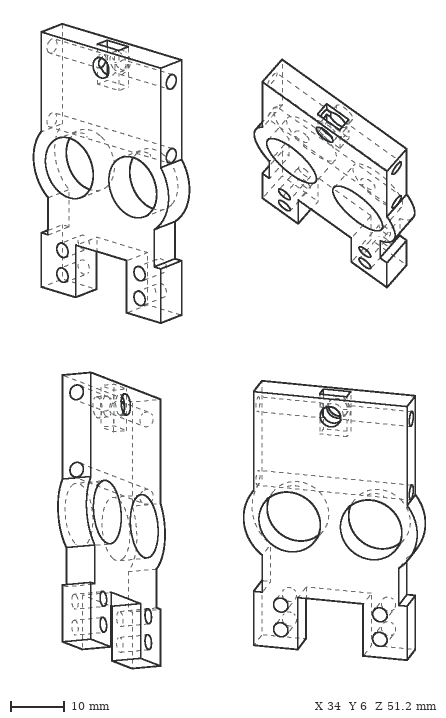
import cadquery as cq

height = 51.2
thickness = 6.0
body_width = 30.0
waist_width = 26.65

bore_diameter = 12.0
overall_width = 33.95
lug_radius = 9.0
bore_x = overall_width / 2 - lug_radius
bore_z = 25.6

foot_height = 10.9
slot_width = 12.75
slot_height = 10.5

screw_diameter = 2.8
foot_hole_x = 9.7
foot_hole_heights = (3.7, 8.65)

rod_diameter = 4.0
rod_z = 47.6
cross_hole_heights = (32.75, rod_z)
pocket_length = 5.3
pocket_width = 2.75
pocket_y = 0.4
pocket_depth = 8.0


def block(width, bottom, top):
    """Full-thickness block between two heights, centred on X and Y."""
    return (
        cq.Workplane("XY")
        .workplane(offset=bottom)
        .rect(width, thickness)
        .extrude(top - bottom)
    )


def cylinders_along_y(points, diameter):
    """Full-thickness cylinders at the given (x, z) points."""
    return (
        cq.Workplane("XZ")
        .pushPoints(points)
        .circle(diameter / 2)
        .extrude(thickness / 2, both=True)
    )


bore_points = [(-bore_x, bore_z), (bore_x, bore_z)]
plate = block(body_width, bore_z, height)
plate = plate.union(block(waist_width, foot_height, bore_z))
plate = plate.union(block(body_width, 0, foot_height))
for point in bore_points:
    plate = plate.union(cylinders_along_y([point], 2 * lug_radius))
plate = plate.cut(block(slot_width, 0, slot_height))

foot_points = [(side * foot_hole_x, z) for side in (-1, 1) for z in foot_hole_heights]
plate = plate.cut(cylinders_along_y(bore_points, bore_diameter))
plate = plate.cut(cylinders_along_y(foot_points, screw_diameter))
plate = plate.cut(cylinders_along_y([(0, rod_z)], rod_diameter))

cross_holes = (
    cq.Workplane("YZ")
    .pushPoints([(0, z) for z in cross_hole_heights])
    .circle(screw_diameter / 2)
    .extrude(body_width / 2, both=True)
)
plate = plate.cut(cross_holes)

pocket = (
    cq.Workplane("XY")
    .workplane(offset=height - pocket_depth)
    .center(0, pocket_y)
    .rect(pocket_length, pocket_width)
    .extrude(pocket_depth)
)
result = plate.cut(pocket).clean()